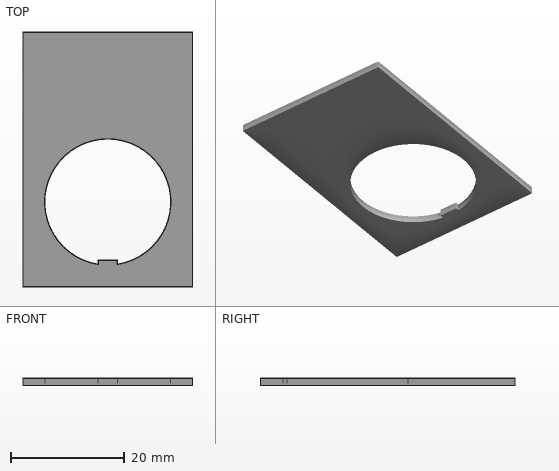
import cadquery as cq

plate_width = 30.0
plate_length = 45.0
plate_thickness = 1.3

hole_diameter = 22.25
hole_center_y = -7.5

key_width = 3.4
key_tip_distance = 10.25


def make_plate():
    return cq.Workplane("XY").box(plate_width, plate_length, plate_thickness)


def make_keyed_opening():
    """Round opening with the key left standing at its -Y edge."""
    hole_radius = hole_diameter / 2
    opening = cq.Workplane("XY").circle(hole_radius).extrude(plate_thickness, both=True)
    key = (
        cq.Workplane("XY")
        .center(0, -(key_tip_distance + hole_radius) / 2)
        .rect(key_width, hole_radius - key_tip_distance)
        .extrude(plate_thickness, both=True)
    )
    return opening.cut(key).translate((0, hole_center_y, 0))


result = make_plate().cut(make_keyed_opening())